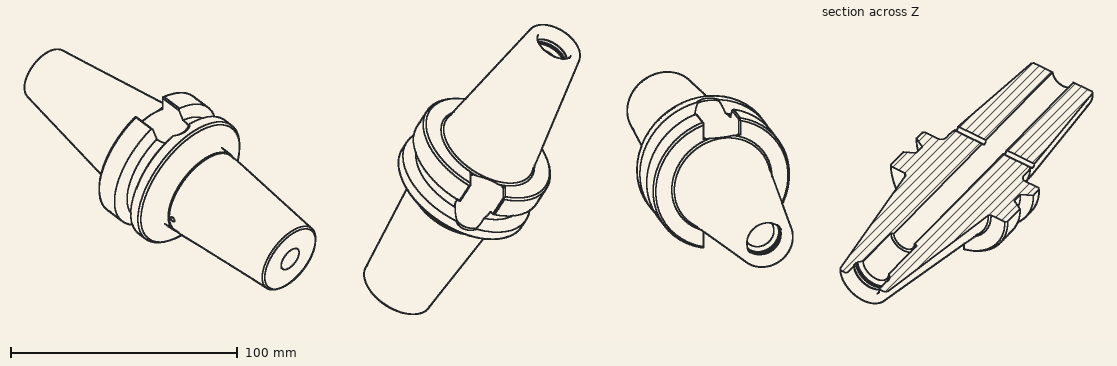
import cadquery as cq
import math

total_length = 155.4
gauge_x = 65.5
flange_start = 66.2
flange_end = 92.5

gauge_radius = 22.2
taper_slope = 7 / 24 / 2
shank_end_radius = gauge_radius - gauge_x * taper_slope
shank_round = 1.9
flare_radius = 23.2

flange_radius = 63.0 / 2
flange_chamfer = 1.0
groove_center = 81.9
groove_floor_width = 4.5
groove_radius = 53.0 / 2
groove_flank_angle = 30.0
groove_flank = (flange_radius - groove_radius) * math.tan(math.radians(groove_flank_angle))

collar_fillet = 2.5
collar_radius = 21.0
collar_taper_start = 97.9
collar_end = 99.8
collar_end_radius = 20.8
step_length = 0.5
nose_start = 104.5
nose_root_radius = 20.5
nose_tip_radius = 16.5
tip_chamfer = 0.8

mouth_radius = 9.6
counterbore_radius = 8.5
counterbore_depth = 8.7
relief_start = 6.0
relief_width = 1.7
relief_radius = 8.9
stud_radius = 6.8
stud_depth = 31.9
stud_bottom_angle = 15.0
bore_radius = 11.0 / 2

key_half_width = 8.1
key_floor = 22.5
key_end = 88.5
key_edge_chamfer = 0.6
key_end_bevel = 0.8
key_floor_fillet = 0.6

cross_hole_x = 102.3
cross_hole_radius = 1.2


def revolve_about_x(profile):
    return profile.close().revolve(360, (0, 0, 0), (1, 0, 0))


def make_body():
    floor_start = groove_center - groove_floor_width / 2
    floor_end = groove_center + groove_floor_width / 2
    profile = (
        cq.Workplane("XY")
        .lineTo(0, shank_end_radius)
        .lineTo(gauge_x, gauge_radius)
        .lineTo(flange_start, flare_radius)
        .lineTo(flange_start, flange_radius - flange_chamfer)
        .lineTo(flange_start + flange_chamfer, flange_radius)
        .lineTo(floor_start - groove_flank, flange_radius)
        .lineTo(floor_start, groove_radius)
        .lineTo(floor_end, groove_radius)
        .lineTo(floor_end + groove_flank, flange_radius)
        .lineTo(flange_end - flange_chamfer, flange_radius)
        .lineTo(flange_end, flange_radius - flange_chamfer)
        .lineTo(flange_end, collar_radius + collar_fillet)
        .radiusArc((flange_end + collar_fillet, collar_radius), -collar_fillet)
        .lineTo(collar_taper_start, collar_radius)
        .lineTo(collar_end, collar_end_radius)
        .lineTo(collar_end + step_length, nose_root_radius)
        .lineTo(nose_start, nose_root_radius)
        .lineTo(total_length, nose_tip_radius)
        .lineTo(total_length, 0)
    )
    body = revolve_about_x(profile)
    body = body.faces("<X").edges().fillet(shank_round)
    return body.faces(">X").edges().chamfer(tip_chamfer)


def make_bore():
    mouth_round = mouth_radius - counterbore_radius
    shoulder = counterbore_radius - stud_radius
    stud_cone = (stud_radius - bore_radius) * math.tan(math.radians(stud_bottom_angle))
    profile = (
        cq.Workplane("XY")
        .lineTo(0, mouth_radius)
        .radiusArc((mouth_round, counterbore_radius), -mouth_round)
        .lineTo(relief_start, counterbore_radius)
        .lineTo(relief_start, relief_radius)
        .lineTo(relief_start + relief_width, relief_radius)
        .lineTo(relief_start + relief_width, counterbore_radius)
        .lineTo(counterbore_depth, counterbore_radius)
        .lineTo(counterbore_depth + shoulder, stud_radius)
        .lineTo(stud_depth, stud_radius)
        .lineTo(stud_depth + stud_cone, bore_radius)
        .lineTo(total_length, bore_radius)
        .lineTo(total_length, 0)
    )
    return revolve_about_x(profile)


def make_wall_bevels():
    """Wedges that bevel the keyway walls along the flange front face and the flange rim."""
    wide = key_half_width + key_edge_chamfer
    front = (
        cq.Workplane("XY", origin=(flange_start, 0, key_floor))
        .polyline([
            (0, -wide),
            (key_edge_chamfer, -key_half_width),
            (key_edge_chamfer, key_half_width),
            (0, wide),
        ])
        .close()
        .extrude(flange_radius - key_floor)
    )
    wall_top = math.sqrt(flange_radius**2 - wide**2)
    rim = (
        cq.Workplane("YZ", origin=(flange_start, 0, wall_top))
        .polyline([
            (-key_half_width, -key_edge_chamfer),
            (key_half_width, -key_edge_chamfer),
            (wide, 0),
            (wide, flange_radius - wall_top),
            (-wide, flange_radius - wall_top),
            (-wide, 0),
        ])
        .close()
        .extrude(groove_center - flange_start)
    )
    return front.union(rim)


def make_rim_bevel():
    """Cone that bevels the rim of the rounded keyway end."""
    return cq.Workplane(
        cq.Solid.makeCone(
            key_half_width,
            key_half_width + 2 * key_end_bevel,
            2 * key_end_bevel,
            pnt=cq.Vector(key_end - key_half_width, 0, flange_radius - key_end_bevel),
        )
    )


def make_keyway():
    """Round-ended slot above the +Z keyway floor, open toward -X, with its edge bevels."""
    slot_start = gauge_x - key_half_width
    slot = (
        cq.Workplane("XY", origin=(0, 0, key_floor))
        .moveTo(slot_start, -key_half_width)
        .lineTo(key_end - key_half_width, -key_half_width)
        .threePointArc((key_end, 0), (key_end - key_half_width, key_half_width))
        .lineTo(slot_start, key_half_width)
        .close()
        .extrude(flange_radius)
    )
    slot = slot.faces("<Z").edges("not <X").fillet(key_floor_fillet)
    return slot.union(make_wall_bevels()).union(make_rim_bevel())


def make_cross_hole():
    return (
        cq.Workplane("XZ", origin=(cross_hole_x, 0, 0))
        .circle(cross_hole_radius)
        .extrude(collar_radius, both=True)
    )


keyway = make_keyway()
result = (
    make_body()
    .cut(make_bore())
    .cut(keyway)
    .cut(keyway.rotate((0, 0, 0), (1, 0, 0), 180))
    .cut(make_cross_hole())
)